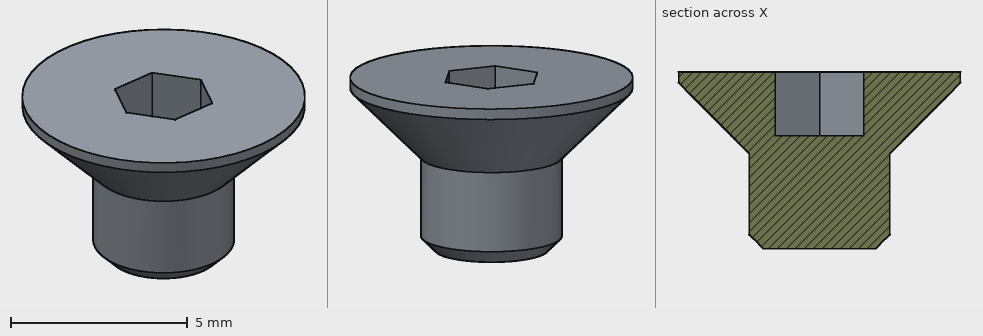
import cadquery as cq
import math

head_diameter = 8
shank_diameter = 4
total_height = 5.0
rim_height = 0.3
tip_chamfer = 0.4
socket_across_flats = 2.5
socket_depth = 1.8

head_radius = head_diameter / 2
shank_radius = shank_diameter / 2
cone_height = head_radius - shank_radius
rim_bottom = total_height - rim_height
cone_bottom = rim_bottom - cone_height


def make_body():
    """Revolve the half profile of the tip, shank, countersink and rim."""
    return (
        cq.Workplane("XZ")
        .lineTo(shank_radius - tip_chamfer, 0)
        .lineTo(shank_radius, tip_chamfer)
        .lineTo(shank_radius, cone_bottom)
        .lineTo(head_radius, rim_bottom)
        .lineTo(head_radius, total_height)
        .lineTo(0, total_height)
        .close()
        .revolve(360, (0, 0), (0, 1))
    )


def make_socket():
    """Hexagonal blind socket with two corners on the X axis."""
    across_corners = socket_across_flats / math.cos(math.radians(30))
    return (
        cq.Workplane("XY")
        .workplane(offset=total_height - socket_depth)
        .polygon(6, across_corners)
        .extrude(socket_depth)
    )


result = make_body().cut(make_socket())